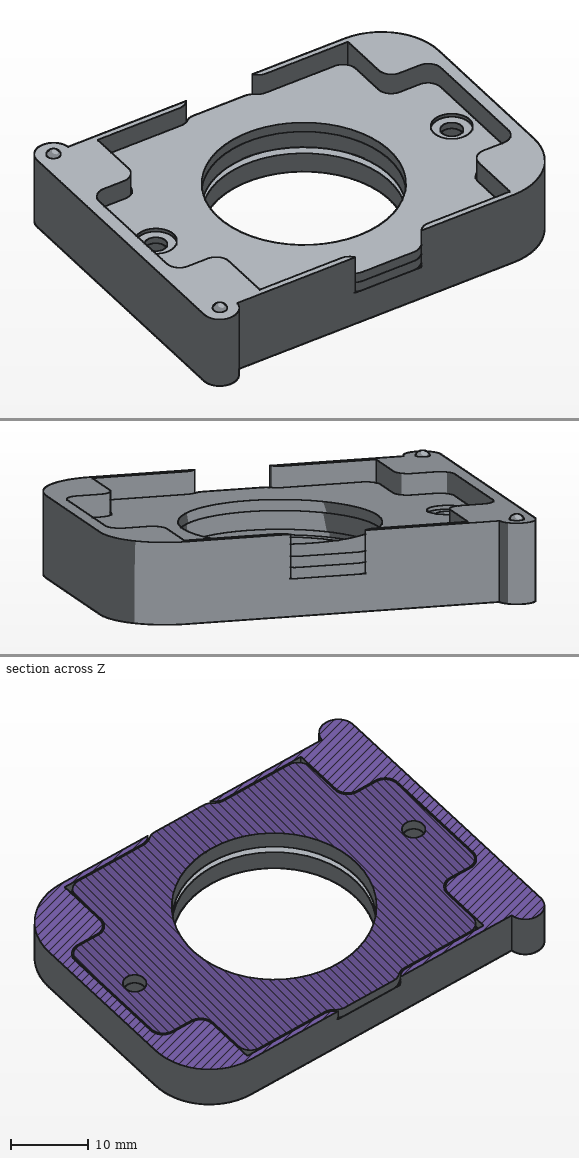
import cadquery as cq
import math

LENGTH = 56.45
SIDE_X = 20.15
REAR_CORNER_RADIUS = 8.8
FRONT_WIDTH = 44.6
EAR_LENGTH = 4.95
EAR_RADIUS = 2.4

BORE_LEDGE_Z = 3.0
POCKET_FLOOR_Z = 5.0
FRONT_RIM_Z = 10.8
REAR_RIM_Z = 10.95

NUB_RADIUS = 1.0
NUB_Y = EAR_LENGTH / 2
NUB_X = FRONT_WIDTH / 2 - NUB_Y
NUB_TOP_Z = 11.45

PLATE_THICKNESS = 1.45
CENTRE_Y = 28.3
PLATE_HALF_SIZE = 19.2
TONGUE_X = 9.9
TONGUE_REACH = 26.25
CORNER_RADIUS = 2.0
TAB_FLAT_Y = 3.95
CLEARANCE = 0.1
NOTCH_Y = 5.1

BORE_DIAMETER = 26.5
COLLAR_DIAMETER = 28.5
COLLAR_RECESS_DIAMETER = 29.0
COLLAR_BOTTOM_Z = 4.0
SCREW_DIAMETER = 3.0
SCREW_HEAD_DIAMETER = 5.5
SCREW_HEAD_DEPTH = 0.5
SCREW_SPACING = 45.65

SEAM_Z = POCKET_FLOOR_Z + PLATE_THICKNESS
PLATE_TOP_Z = SEAM_Z + PLATE_THICKNESS


def box(half_x, y_min, y_max, z_min, z_max):
    """A box centred on X."""
    corner = cq.Vector(-half_x, y_min, z_min)
    return cq.Workplane(cq.Solid.makeBox(2 * half_x, y_max - y_min, z_max - z_min, corner))


def cylinder(diameter, x, y, z_min, z_max):
    """An upright cylinder."""
    return cq.Workplane(cq.Solid.makeCylinder(diameter / 2, z_max - z_min, cq.Vector(x, y, z_min)))


def screw_holes(diameter, z_min, z_max):
    """Cylinders at the two screw positions."""
    rear = cylinder(diameter, 0, CENTRE_Y + SCREW_SPACING / 2, z_min, z_max)
    front = cylinder(diameter, 0, CENTRE_Y - SCREW_SPACING / 2, z_min, z_max)
    return rear.union(front)


def cross(clearance, z_min, z_max):
    """A square with a tongue at the front and rear, rounded along the tongues only."""
    square = PLATE_HALF_SIZE + clearance
    reach = TONGUE_REACH + clearance
    tongue = TONGUE_X + clearance
    body = box(square, CENTRE_Y - square, CENTRE_Y + square, z_min, z_max)
    body = body.union(box(tongue, CENTRE_Y - reach, CENTRE_Y + reach, z_min, z_max))
    margin = 0.55
    tongue_edges = cq.selectors.BoxSelector(
        (-tongue - margin, 0, z_min - margin), (tongue + margin, LENGTH, z_max + margin)
    )
    return body.edges("|Z").edges(tongue_edges).fillet(CORNER_RADIUS)


def arc_point(centre, angle):
    """A point at the corner radius from a centre, with the angle in radians from +X."""
    return (
        centre[0] + CORNER_RADIUS * math.cos(angle),
        centre[1] + CORNER_RADIUS * math.sin(angle),
    )


def on_both_sides(right_side):
    """A shape on the +X side together with its mirror image on the -X side."""
    return right_side.union(right_side.mirror("YZ"))


def side_tabs(z_min, z_max):
    """Tabs that run out to the side faces, each blended into the plate by two opposite arcs."""
    sweep = math.acos(1 - (SIDE_X - PLATE_HALF_SIZE) / (2 * CORNER_RADIUS))
    root_y = TAB_FLAT_Y + 2 * CORNER_RADIUS * math.sin(sweep)
    outer_centre = (SIDE_X - CORNER_RADIUS, TAB_FLAT_Y)
    root_centre = (PLATE_HALF_SIZE + CORNER_RADIUS, root_y)
    outer_mid = arc_point(outer_centre, sweep / 2)
    inflection = arc_point(outer_centre, sweep)
    root_mid = arc_point(root_centre, math.pi + sweep / 2)
    half_tab = (
        cq.Workplane("XY", origin=(0, CENTRE_Y, z_min))
        .moveTo(0, 0)
        .lineTo(SIDE_X, 0)
        .lineTo(SIDE_X, TAB_FLAT_Y)
        .threePointArc(outer_mid, inflection)
        .threePointArc(root_mid, (PLATE_HALF_SIZE, root_y))
        .lineTo(0, root_y)
        .close()
        .extrude(z_max - z_min)
    )
    tab = half_tab.union(half_tab.mirror("XZ", (0, CENTRE_Y, 0)))
    return on_both_sides(tab)


def side_notches(z_min, z_max):
    """Openings through the side walls, between wall ends rounded on the inside."""
    wall_inside_x = PLATE_HALF_SIZE + CLEARANCE
    sweep = math.acos(1 - (SIDE_X - wall_inside_x) / CORNER_RADIUS)
    root_y = NOTCH_Y + CORNER_RADIUS * math.sin(sweep)
    wall_end_centre = (wall_inside_x + CORNER_RADIUS, root_y)
    half_notch = (
        cq.Workplane("XY", origin=(0, CENTRE_Y, z_min))
        .moveTo(0, 0)
        .lineTo(SIDE_X, 0)
        .lineTo(SIDE_X, NOTCH_Y)
        .threePointArc(arc_point(wall_end_centre, math.pi + sweep / 2), (wall_inside_x, root_y))
        .lineTo(0, root_y)
        .close()
        .extrude(z_max - z_min)
    )
    notch = half_notch.union(half_notch.mirror("XZ", (0, CENTRE_Y, 0)))
    return on_both_sides(notch)


def make_housing():
    """Open housing with a pocket for the plates and a nub on each front ear."""
    body = box(SIDE_X, EAR_LENGTH / 2, LENGTH, 0, REAR_RIM_Z)
    body = body.edges("|Z and >Y").fillet(REAR_CORNER_RADIUS)
    body = body.cut(box(SIDE_X, 0, CENTRE_Y, FRONT_RIM_Z, REAR_RIM_Z))
    ears = box(FRONT_WIDTH / 2, 0, EAR_LENGTH, 0, FRONT_RIM_Z)
    body = body.union(ears.edges("|Z").fillet(EAR_RADIUS))
    for x in (-NUB_X, NUB_X):
        nub_centre = (x, NUB_Y, NUB_TOP_Z - NUB_RADIUS)
        body = body.union(cq.Workplane("XY").sphere(NUB_RADIUS).translate(nub_centre))
    body = body.cut(cross(CLEARANCE, POCKET_FLOOR_Z, REAR_RIM_Z))
    body = body.cut(side_notches(POCKET_FLOOR_Z, REAR_RIM_Z))
    body = body.cut(cylinder(BORE_DIAMETER, 0, CENTRE_Y, 0, POCKET_FLOOR_Z))
    body = body.cut(cylinder(COLLAR_RECESS_DIAMETER, 0, CENTRE_Y, BORE_LEDGE_Z, POCKET_FLOOR_Z))
    return body.cut(screw_holes(SCREW_DIAMETER, 0, POCKET_FLOOR_Z))


def plate_blank(z_min, z_max):
    """The solid cross with rounded corners and side tabs that both plates start from."""
    blank = cross(0, z_min, z_max)
    for side in ("<X", ">X"):
        blank = blank.edges("|Z").edges(side).fillet(CORNER_RADIUS)
    return blank.union(side_tabs(z_min, z_max))


def make_lower_plate():
    """Plate with a collar that hangs into the recess around the housing bore."""
    plate = plate_blank(POCKET_FLOOR_Z, SEAM_Z)
    plate = plate.union(cylinder(COLLAR_DIAMETER, 0, CENTRE_Y, COLLAR_BOTTOM_Z, SEAM_Z))
    plate = plate.cut(cylinder(BORE_DIAMETER, 0, CENTRE_Y, COLLAR_BOTTOM_Z, SEAM_Z))
    return plate.cut(screw_holes(SCREW_DIAMETER, POCKET_FLOOR_Z, SEAM_Z))


def make_upper_plate():
    """Flat plate with the bore and shallow recesses for the screw heads."""
    plate = plate_blank(SEAM_Z, PLATE_TOP_Z)
    plate = plate.cut(cylinder(BORE_DIAMETER, 0, CENTRE_Y, SEAM_Z, PLATE_TOP_Z))
    plate = plate.cut(screw_holes(SCREW_DIAMETER, SEAM_Z, PLATE_TOP_Z))
    head_recesses = screw_holes(SCREW_HEAD_DIAMETER, PLATE_TOP_Z - SCREW_HEAD_DEPTH, PLATE_TOP_Z)
    return plate.cut(head_recesses)


housing = make_housing()
lower_plate = make_lower_plate()
upper_plate = make_upper_plate()

result = cq.Compound.makeCompound(
    [housing.solids().val(), lower_plate.solids().val(), upper_plate.solids().val()]
)